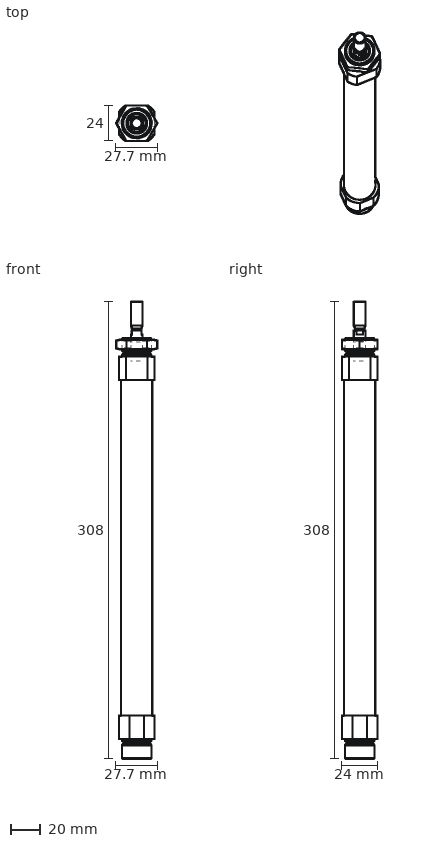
import cadquery as cq
import math

total_length = 308.0
head_length = 15.7
rear_head_bottom = 13.5
rear_head_top = rear_head_bottom + head_length
front_head_bottom = 255.0
front_head_top = front_head_bottom + head_length
neck_top = 283.5

tube_diameter = 21.3
head_across_flats = 24.0
front_head_diameter = 28.0
rear_head_diameter = 26.0
neck_diameter = 20.0
neck_chamfer = 1.0
relief_diameter = 18.0
relief_length = 3.5
relief_gap = 1.0
relief_slope = (neck_diameter - relief_diameter) / 2

opening_diameter = 12.0
opening_depth = 1.2
opening_chamfer = 1.0
clearance_diameter = 8.5
clearance_depth = 1.5

rod_diameter = 8.0
rod_depth = 15.5
rod_chamfer = 0.5
thread_bottom = 291.8
undercut_diameter = 6.5
undercut_bottom = 288.5
undercut_slope = 2.0
flats_across = 6.8
flats_bottom = 285.5

nut_across_flats = 24.0
nut_bottom = 275.7
nut_height = 6.5
nut_face_diameter = 23.0
nut_chamfer_height = 0.5


def cylinder(diameter, bottom, top):
    """Cylinder on the Z axis between two heights."""
    return cq.Workplane("XY").workplane(offset=bottom).circle(diameter / 2).extrude(top - bottom)


def head(diameter, bottom):
    """Round end head with four wrench flats."""
    square = (
        cq.Workplane("XY")
        .workplane(offset=bottom)
        .rect(head_across_flats, head_across_flats)
        .extrude(head_length)
    )
    return cylinder(diameter, bottom, bottom + head_length).intersect(square)


def neck(length):
    """Mounting neck rising from z = 0, with a thread relief near its root and a chamfered end."""
    outer = neck_diameter / 2
    inner = relief_diameter / 2
    relief_end = relief_gap + relief_length
    outline = [
        (0, 0),
        (outer, 0),
        (outer, relief_gap),
        (inner, relief_gap + relief_slope),
        (inner, relief_end - relief_slope),
        (outer, relief_end),
        (outer, length - neck_chamfer),
        (outer - neck_chamfer, length),
        (0, length),
    ]
    return cq.Workplane("XZ").polyline(outline).close().revolve(360, (0, 0, 0), (0, 1, 0))


def rod_opening():
    """Stepped bore for the rod: chamfered mouth, clearance, then a close fit down to a blind end."""
    mouth = opening_diameter / 2
    clearance = clearance_diameter / 2
    fit = rod_diameter / 2
    mouth_bottom = neck_top - opening_depth
    clearance_bottom = mouth_bottom - clearance_depth
    bottom = neck_top - rod_depth
    outline = [
        (0, bottom),
        (fit, bottom),
        (fit, clearance_bottom),
        (clearance, clearance_bottom),
        (clearance, mouth_bottom),
        (mouth, mouth_bottom),
        (mouth, neck_top - opening_chamfer),
        (mouth + opening_chamfer, neck_top),
        (0, neck_top),
    ]
    return cq.Workplane("XZ").polyline(outline).close().revolve(360, (0, 0, 0), (0, 1, 0))


def make_housing():
    """Tube with both heads and necks, bored for the rod."""
    front_neck = neck(neck_top - front_head_top).translate((0, 0, front_head_top))
    rear_neck = neck(rear_head_bottom).mirror("XY").translate((0, 0, rear_head_bottom))
    body = (
        cylinder(tube_diameter, rear_head_top, front_head_bottom)
        .union(head(rear_head_diameter, rear_head_bottom))
        .union(head(front_head_diameter, front_head_bottom))
        .union(front_neck)
        .union(rear_neck)
    )
    return body.cut(rod_opening())


def make_rod():
    """Piston rod with a threaded tip, an undercut below it and two wrench flats facing X."""
    outer = rod_diameter / 2
    inner = undercut_diameter / 2
    bottom = neck_top - rod_depth
    outline = [
        (0, bottom),
        (outer, bottom),
        (outer, undercut_bottom),
        (inner, undercut_bottom),
        (inner, thread_bottom - undercut_slope),
        (outer, thread_bottom),
        (outer, total_length - rod_chamfer),
        (outer - rod_chamfer, total_length),
        (0, total_length),
    ]
    rod = cq.Workplane("XZ").polyline(outline).close().revolve(360, (0, 0, 0), (0, 1, 0))
    flats_height = undercut_bottom - flats_bottom
    flats_zone = cylinder(2 * rod_diameter, flats_bottom, undercut_bottom)
    kept_web = (
        cq.Workplane("XY")
        .workplane(offset=flats_bottom)
        .rect(flats_across, 2 * rod_diameter)
        .extrude(flats_height)
    )
    return rod.cut(flats_zone.cut(kept_web))


def make_nut():
    """Hexagon nut on the front neck, with two corners along X and chamfered corners."""
    across_corners = nut_across_flats / math.cos(math.pi / 6)
    corner_depth = (across_corners - nut_face_diameter) / 2
    corner_limit = cylinder(across_corners, nut_bottom, nut_bottom + nut_height)
    corner_limit = corner_limit.faces("<Z").chamfer(nut_chamfer_height, corner_depth)
    corner_limit = corner_limit.faces(">Z").chamfer(nut_chamfer_height, corner_depth)
    hexagon = (
        cq.Workplane("XY")
        .workplane(offset=nut_bottom)
        .polygon(6, across_corners)
        .circle(neck_diameter / 2)
        .extrude(nut_height)
    )
    return hexagon.intersect(corner_limit)


housing = make_housing()
rod = make_rod()
nut = make_nut()

result = cq.Compound.makeCompound([housing.val(), rod.val(), nut.val()])